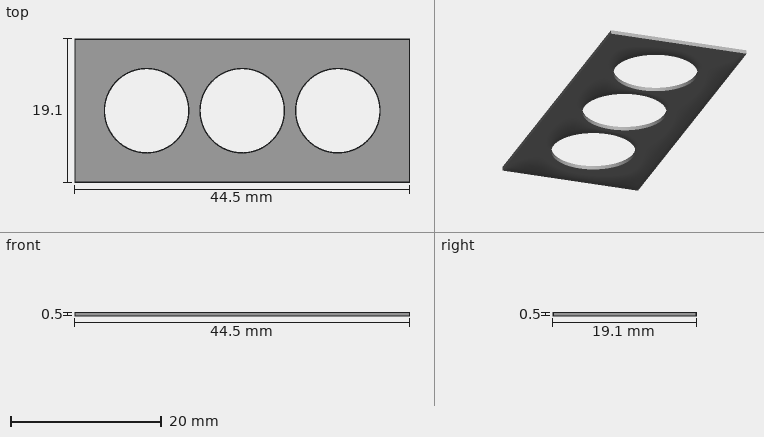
import cadquery as cq

plate_length = 44.45
plate_width = 19.05
plate_thickness = 0.5

hole_diameter = 11.18
hole_pitch = 12.7
hole_count = 3


def make_plate():
    """Flat rectangular plate with its bottom face on Z = 0."""
    return cq.Workplane("XY").box(
        plate_length, plate_width, plate_thickness, centered=(True, True, False)
    )


def cut_hole_row(plate):
    """Cut the evenly spaced row of through holes."""
    return (
        plate.faces(">Z")
        .workplane(origin=(0, 0, plate_thickness))
        .rarray(hole_pitch, plate_width, hole_count, 1)
        .hole(hole_diameter)
    )


result = cut_hole_row(make_plate())